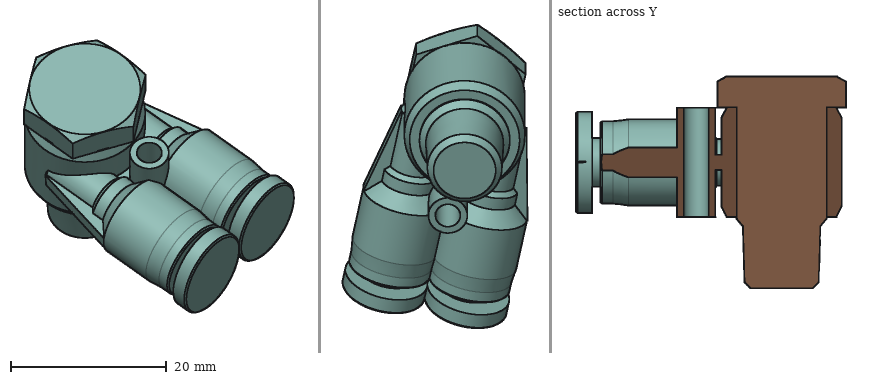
import cadquery as cq
import math


total_length = 34.65
total_height = 27.2

hex_flats = 14.3
hex_corners = hex_flats / math.cos(math.radians(30))
hex_top_diameter = 14.25
hex_chamfer_angle = 30
envelope_margin = 0.35
head_base_z = 23.18
shank_diameter = 11.6
shank_base_z = 8.95
thread_top_z = 7.97
thread_top_diameter = 9.98
thread_end_diameter = 9.55
thread_chamfer = 0.8

barrel_diameter = 15.5
barrel_base_z = 9.15
barrel_height = head_base_z - barrel_base_z
barrel_chamfer_width = 0.7
barrel_top_chamfer = 1.28
barrel_base_chamfer = 1.4

port_y = 5.2
port_z = barrel_base_z + barrel_height / 2
port_radius = 5.55
port_start_x = 12.5
port_straight_end_x = 19.65
port_lip_radius = 10.6 / 2
port_lip_start_x = 21.65
port_end_x = 23.25
port_end_chamfer = 0.2
collar_radius = 3.65
collar_start_x = 8.95
neck_radius = 3.0
neck_end_chamfer = 0.5

rib_thickness = 1.98
eye_x = 10.95
eye_diameter = 5.0
eye_hole_diameter = 3.2

sleeve_stem_diameter = 6.3
flange_start_x = 24.32
flange_end_x = total_length - hex_corners / 2
flange_half_width = 5.37
flange_half_height = 6.5
flange_y = flange_half_width
flange_chamfer = 0.2


def revolve_about_z(outline):
    """Turn an (r, z) outline around the Z axis."""
    return cq.Workplane("XZ").polyline(outline).close().revolve(360, (0, 0), (0, 1))


def make_bolt():
    """Hexagon bolt with a chamfered head, a plain shank and a tapered thread end."""
    head_height = total_height - head_base_z
    head = (
        cq.Workplane("XY", origin=(0, 0, head_base_z))
        .polygon(6, hex_corners)
        .extrude(head_height)
    )
    top_radius = hex_top_diameter / 2
    envelope_radius = hex_corners / 2 + envelope_margin
    chamfer_drop = (envelope_radius - top_radius) * math.tan(math.radians(hex_chamfer_angle))
    head_envelope = revolve_about_z([
        (0, head_base_z),
        (envelope_radius, head_base_z),
        (envelope_radius, total_height - chamfer_drop),
        (top_radius, total_height),
        (0, total_height),
    ])
    shaft = revolve_about_z([
        (0, 0),
        (thread_end_diameter / 2 - thread_chamfer, 0),
        (thread_end_diameter / 2, thread_chamfer),
        (thread_top_diameter / 2, thread_top_z),
        (shank_diameter / 2, shank_base_z),
        (shank_diameter / 2, head_base_z),
        (0, head_base_z),
    ])
    return head.intersect(head_envelope).union(shaft)


def make_barrel():
    """Round barrel around the bolt, chamfered at both ends."""
    radius = barrel_diameter / 2
    end_radius = radius - barrel_chamfer_width
    return revolve_about_z([
        (0, barrel_base_z),
        (end_radius, barrel_base_z),
        (radius, barrel_base_z + barrel_base_chamfer),
        (radius, head_base_z - barrel_top_chamfer),
        (end_radius, head_base_z),
        (0, head_base_z),
    ])


def make_port(side):
    """Stepped port: neck, collar, full-width body and slightly smaller lip."""
    outline = [
        (0, 0),
        (0, neck_radius - neck_end_chamfer),
        (neck_end_chamfer, neck_radius),
        (collar_start_x - (collar_radius - neck_radius), neck_radius),
        (collar_start_x, collar_radius),
        (port_start_x - (port_radius - collar_radius), collar_radius),
        (port_start_x, port_radius),
        (port_straight_end_x, port_radius),
        (port_lip_start_x, port_lip_radius),
        (port_end_x - port_end_chamfer, port_lip_radius),
        (port_end_x, port_lip_radius - port_end_chamfer),
        (port_end_x, 0),
    ]
    return (
        cq.Workplane("XY", origin=(0, side * port_y, port_z))
        .polyline(outline)
        .close()
        .revolve(360, (0, 0), (1, 0))
    )


def make_rib(side):
    """Flat rib that widens from the end of the neck to the full port width."""
    outline = [
        (neck_end_chamfer, side * port_y),
        (neck_end_chamfer, side * (port_y + neck_radius)),
        (port_start_x, side * (port_y + port_radius)),
        (port_start_x, side * port_y),
    ]
    return (
        cq.Workplane("XY", origin=(0, 0, port_z))
        .polyline(outline)
        .close()
        .extrude(rib_thickness / 2, both=True)
    )


def make_web():
    """Flat web that joins the two necks, the barrel and the mounting eye."""
    return (
        cq.Workplane("XY", origin=(eye_x / 2, 0, port_z))
        .box(eye_x, 2 * port_y, rib_thickness)
    )


def upright_cylinder(x, diameter):
    """Upright cylinder over the height of the barrel."""
    return (
        cq.Workplane("XY", origin=(x, 0, barrel_base_z))
        .circle(diameter / 2)
        .extrude(barrel_height)
    )


def make_housing():
    """Barrel with both ports, ribs, web and eye, bored for the bolt shank."""
    body = make_barrel().union(make_web()).union(upright_cylinder(eye_x, eye_diameter))
    for side in (-1, 1):
        body = body.union(make_port(side)).union(make_rib(side))
    eye_hole = upright_cylinder(eye_x, eye_hole_diameter)
    shank_bore = upright_cylinder(0, shank_diameter)
    return body.cut(eye_hole).cut(shank_bore)


def make_sleeve(side):
    """Release sleeve: round stem against the port end, with an oval flange."""
    stem = (
        cq.Workplane("YZ", origin=(port_end_x, side * port_y, port_z))
        .circle(sleeve_stem_diameter / 2)
        .extrude(flange_start_x - port_end_x)
    )
    flange = (
        cq.Workplane("YZ", origin=(flange_start_x, side * flange_y, port_z))
        .ellipse(flange_half_width, flange_half_height)
        .extrude(flange_end_x - flange_start_x)
        .faces(">X")
        .chamfer(flange_chamfer)
    )
    return stem.union(flange)


bolt = make_bolt()
housing = make_housing()
sleeves = [make_sleeve(side) for side in (-1, 1)]

result = cq.Compound.makeCompound([
    bolt.val(),
    housing.val(),
    *[sleeve.val() for sleeve in sleeves],
])